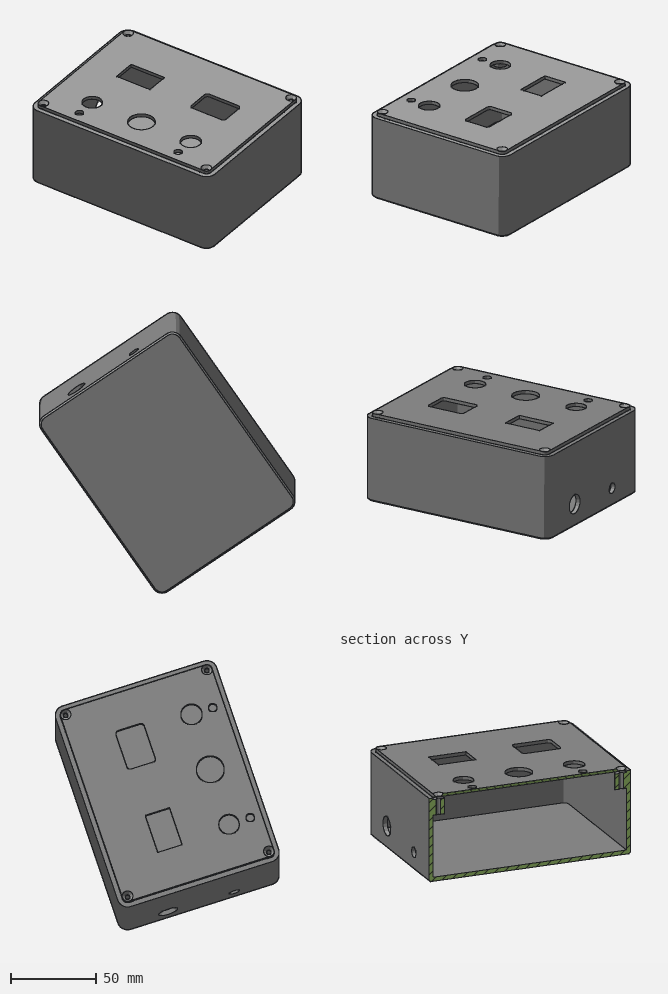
import cadquery as cq

LENGTH = 128.0
WIDTH = 99.1
TOTAL_HEIGHT = 54.0
LID_THICKNESS = 2.0
BOX_HEIGHT = TOTAL_HEIGHT - LID_THICKNESS
BOX_CORNER_RADIUS = 6.0
BOTTOM_CHAMFER = 1.0
WALL = 2.8
FLOOR = WALL

LID_CLEARANCE = 0.1
LID_INSET = WALL + LID_CLEARANCE

SCREW_X = LENGTH / 2 - BOX_CORNER_RADIUS
SCREW_Y = WIDTH / 2 - BOX_CORNER_RADIUS
SCREW_POINTS = [(x, y) for x in (-SCREW_X, SCREW_X) for y in (-SCREW_Y, SCREW_Y)]
SCREW_DIAMETER = 2.7
SCREW_HEAD_DIAMETER = 6.3
COUNTERSINK_ANGLE = 90

BOSS_DIAMETER = 8.0
BOSS_HEIGHT = 10.0
BOSS_GAP = 1.0
BOSS_BOTTOM = BOX_HEIGHT - BOSS_GAP - BOSS_HEIGHT

CABLE_HOLES = [(11.7, 20.5, 14.0), (6.3, -20.2, 11.0)]

SHARP_WINDOW_SIZE = (23.7, 15.0)
SHARP_WINDOW_CENTRE = (-26.5, 10.9)
ROUNDED_WINDOW_SIZE = (24.6, 17.4)
ROUNDED_WINDOW_CENTRE = (26.9, 10.6)
ROUNDED_WINDOW_RADIUS = 2.0

SWITCH_X = 35.1
SWITCH_Y = -26.5
LEFT_SWITCH_DIAMETER = 12.0
MIDDLE_SWITCH_DIAMETER = 16.3
RIGHT_SWITCH_DIAMETER = 12.5
LAMP_Y = -39.6
LAMP_DIAMETER = 5.0
LID_HOLES = [
    (LEFT_SWITCH_DIAMETER, -SWITCH_X, SWITCH_Y),
    (MIDDLE_SWITCH_DIAMETER, 0, SWITCH_Y),
    (RIGHT_SWITCH_DIAMETER, SWITCH_X, SWITCH_Y),
    (LAMP_DIAMETER, -SWITCH_X, LAMP_Y),
    (LAMP_DIAMETER, SWITCH_X, LAMP_Y),
]


def inset_block(inset, bottom, height):
    """Block with rounded vertical edges whose sides lie `inset` inside the outer box faces."""
    start = cq.Workplane("XY").workplane(offset=bottom)
    block = start.rect(LENGTH - 2 * inset, WIDTH - 2 * inset).extrude(height)
    return block.edges("|Z").fillet(BOX_CORNER_RADIUS - inset)


def make_screw_bosses():
    start = cq.Workplane("XY").workplane(offset=BOSS_BOTTOM).pushPoints(SCREW_POINTS)
    return start.circle(BOSS_DIAMETER / 2).circle(SCREW_DIAMETER / 2).extrude(BOSS_HEIGHT)


def make_box():
    box = inset_block(0, 0, BOX_HEIGHT)
    box = box.faces("<Z").edges().chamfer(BOTTOM_CHAMFER)
    box = box.cut(inset_block(WALL, FLOOR, BOX_HEIGHT - FLOOR))
    box = box.union(make_screw_bosses())
    for diameter, y, z in CABLE_HOLES:
        start = cq.Workplane("YZ").workplane(offset=-LENGTH / 2).center(y, z)
        box = box.cut(start.circle(diameter / 2).extrude(WALL))
    return box


def make_window(size, centre):
    start = cq.Workplane("XY").workplane(offset=BOX_HEIGHT).center(*centre)
    return start.rect(*size).extrude(LID_THICKNESS)


def make_lid():
    lid = inset_block(LID_INSET, BOX_HEIGHT, LID_THICKNESS)
    for diameter, x, y in LID_HOLES:
        start = cq.Workplane("XY").workplane(offset=BOX_HEIGHT).center(x, y)
        lid = lid.cut(start.circle(diameter / 2).extrude(LID_THICKNESS))
    lid = lid.cut(make_window(SHARP_WINDOW_SIZE, SHARP_WINDOW_CENTRE))
    rounded_window = make_window(ROUNDED_WINDOW_SIZE, ROUNDED_WINDOW_CENTRE)
    lid = lid.cut(rounded_window.edges("|Z").fillet(ROUNDED_WINDOW_RADIUS))
    top = lid.faces(">Z").workplane(origin=(0, 0, TOTAL_HEIGHT)).pushPoints(SCREW_POINTS)
    return top.cskHole(SCREW_DIAMETER, SCREW_HEAD_DIAMETER, COUNTERSINK_ANGLE)


box = make_box()
lid = make_lid()
result = cq.Compound.makeCompound([box.val(), lid.val()])